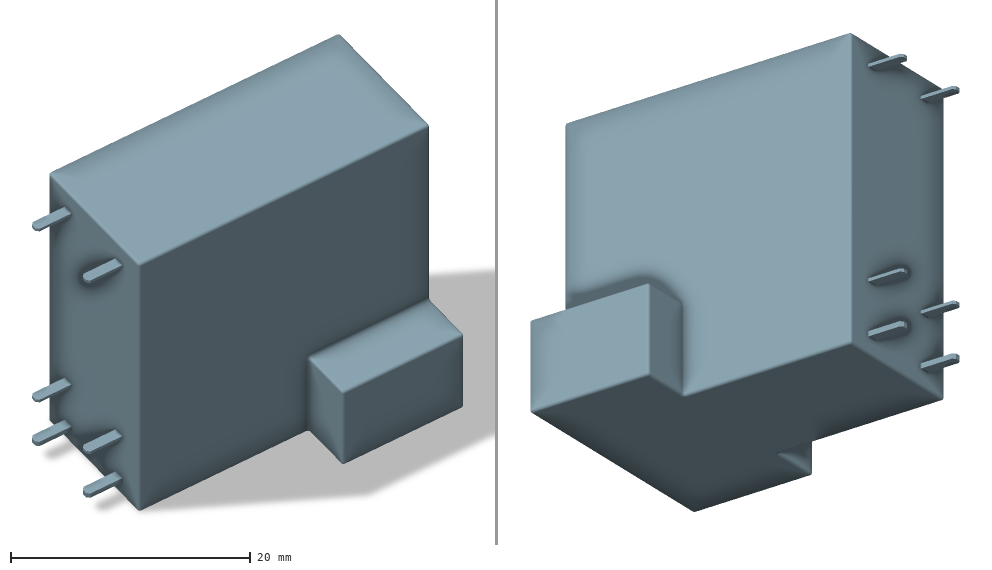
import cadquery as cq

overall_width = 23.5
overall_length = 33.0
overall_height = 29.0

body_width = 13.4
pin_length = 3.5
body_length = overall_length - pin_length

side_block_length = 12.3
side_block_height = 8.6

edge_radius = 0.25

pin_width = 1.0
pin_spacing = 7.5
pin_tip_chamfer = 0.25
thin_pin_thickness = 0.3
thick_pin_thickness = 0.5
bottom_row_height = 1.8
middle_row_height = 6.83
top_row_height = 26.83
pin_rows = [
    (bottom_row_height, thick_pin_thickness),
    (middle_row_height, thin_pin_thickness),
    (top_row_height, thin_pin_thickness),
]
pin_root_depth = 0.33


def make_housing():
    """Body and side blocks, flush at the bottom and rear, with all edges rounded."""
    body = cq.Workplane("XY").box(
        body_width, body_length, overall_height, centered=(True, False, False)
    )
    side_blocks = (
        cq.Workplane("XY")
        .box(overall_width, side_block_length, side_block_height, centered=(True, False, False))
        .translate((0, body_length - side_block_length, 0))
    )
    return body.union(side_blocks).clean().edges().fillet(edge_radius)


def make_pin(x, z, thickness):
    """Flat pin pointing toward -Y, with the two side corners of its tip chamfered."""
    return (
        cq.Workplane("XY")
        .box(pin_width, pin_length + pin_root_depth, thickness, centered=(True, False, True))
        .faces("<Y")
        .edges("|Z")
        .chamfer(pin_tip_chamfer)
        .translate((x, -pin_length, z))
    )


result = make_housing()
for row_height, thickness in pin_rows:
    for x in (-pin_spacing / 2, pin_spacing / 2):
        result = result.union(make_pin(x, row_height, thickness))